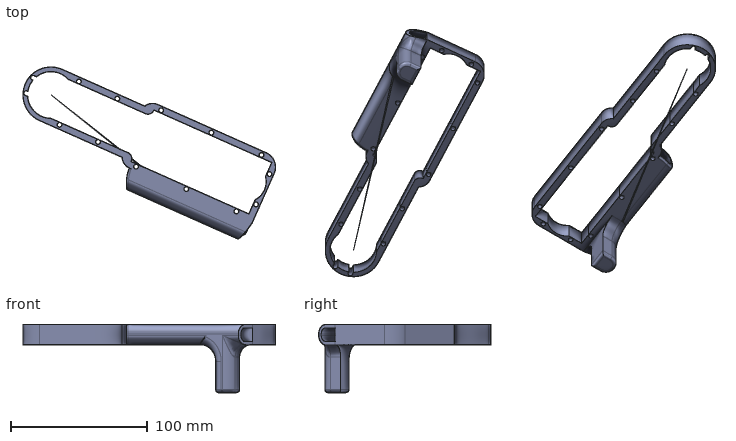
import cadquery as cq
import math

frame_height = 15.0
tilt = -24.0

rail = 4.95
neck_half = 20.5
head_half = neck_half + rail
round_end_x = -0.4
round_end_inner_radius = 17.0
head_end = 172.0
head_corner_radius = 11.5
step_start = 65.6
step_radius = 9.0
step_offset = 2.8
inner_step_run = 4.5
end_wall = 5.0

hollow_half_width = 9.3
hollow_depth = 3.3

hole_diameter = 3.3
neck_hole_spots = [14.2, 45.0]
neck_hole_offset = 17.3
head_hole_spots = [77.7, 117.9, 158.0]
head_hole_offset = 22.55
end_hole_inset = 3.0
end_hole_offset = 12.1

slot_centre = -17.5
slot_offset = 6.15
slot_reach = 3.0

edge_radius = 7.0
handle_side = -40.6
handle_axis = handle_side + edge_radius
handle_inner_side = -22.0
handle_start = 73.6
start_setback = 4.8
start_bulge = 1.2
end_setback = 4.5
end_bulge = 0.5
lip_radius = 1.5

bore_wall = 2.5

peg_drop = 35.0
peg_width = 15.0
peg_start = 146.9
peg_end = peg_start + peg_width
peg_inner_side = -head_half
peg_tip_radius = 2.5
start_sweep_radius = 12.0
end_fillet_radius = 9.0

pick_gap = 0.1


def mirrored(spots, offset):
    return [(x, side * offset) for x in spots for side in (1, -1)]


def frame_outside():
    """Solid block with the outer outline of the frame."""
    step_end = step_start + math.sqrt(step_radius**2 - (step_radius - rail) ** 2)
    return (
        cq.Workplane("XY")
        .moveTo(round_end_x, neck_half)
        .lineTo(step_start, neck_half)
        .radiusArc((step_end, head_half), step_radius)
        .lineTo(head_end - head_corner_radius, head_half)
        .radiusArc((head_end, head_half - head_corner_radius), head_corner_radius)
        .lineTo(head_end, -head_half)
        .lineTo(step_end, -head_half)
        .radiusArc((step_start, -neck_half), step_radius)
        .lineTo(round_end_x, -neck_half)
        .threePointArc((round_end_x - neck_half, 0), (round_end_x, neck_half))
        .close()
        .extrude(frame_height)
    )


def frame_opening():
    """The opening through the frame."""
    neck = neck_half - rail
    head = head_half - rail
    wall = head_end - end_wall
    round_end = round_end_x + math.sqrt(round_end_inner_radius**2 - neck**2)
    step = step_start + step_offset
    step_end = step + inner_step_run
    step_middle = step + inner_step_run * math.sqrt(0.5)
    middle = head - rail * math.sqrt(0.5)
    return (
        cq.Workplane("XY")
        .moveTo(round_end, neck)
        .lineTo(step, neck)
        .threePointArc((step_middle, middle), (step_end, head))
        .lineTo(wall, head)
        .lineTo(wall, hollow_half_width)
        .threePointArc((wall + hollow_depth, 0), (wall, -hollow_half_width))
        .lineTo(wall, -head)
        .lineTo(step_end, -head)
        .threePointArc((step_middle, -middle), (step, -neck))
        .lineTo(round_end, -neck)
        .threePointArc((round_end_x - round_end_inner_radius, 0), (round_end, neck))
        .close()
        .extrude(frame_height)
    )


def handle_bar(inset, start, length):
    """Bar with the handle's D section, drawn in by `inset` from its outside."""
    return (
        cq.Workplane("YZ", origin=(start, 0, 0))
        .moveTo(handle_inner_side, inset)
        .lineTo(handle_axis, inset)
        .radiusArc((handle_side + inset, edge_radius), edge_radius - inset)
        .lineTo(handle_side + inset, frame_height - edge_radius)
        .radiusArc((handle_axis, frame_height - inset), edge_radius - inset)
        .lineTo(handle_inner_side, frame_height - inset)
        .close()
        .extrude(length)
    )


def handle():
    """Handle bar with both ends bowed in plan and a rounded lip round the open end."""
    start_corner = handle_start + start_setback
    end_corner = head_end - end_setback
    middle_side = (handle_side - head_half) / 2
    start_middle = handle_start + start_setback / 2 - start_bulge
    end_middle = head_end - end_setback / 2 + end_bulge
    plan = (
        cq.Workplane("XY")
        .moveTo(handle_start, handle_inner_side)
        .lineTo(handle_start, -head_half)
        .threePointArc((start_middle, middle_side), (start_corner, handle_side))
        .lineTo(end_corner, handle_side)
        .threePointArc((end_middle, middle_side), (head_end, -head_half))
        .lineTo(head_end, handle_inner_side)
        .close()
        .extrude(frame_height)
    )
    bar = handle_bar(0, handle_start, head_end - handle_start).intersect(plan)
    lip = cq.selectors.BoxSelector(
        (handle_start - 1, handle_side - 1, -1),
        (start_corner + 1, -head_half - pick_gap, frame_height + 1),
    )
    return bar.edges(lip).fillet(lip_radius)


def peg():
    """Peg sweeping out of the underside of the handle in one curve on the side of the lip."""
    sweep_start = peg_start - start_sweep_radius
    depth = peg_inner_side - handle_side
    blank = (
        cq.Workplane("XZ", origin=(0, peg_inner_side, 0))
        .moveTo(sweep_start, edge_radius)
        .lineTo(sweep_start, 0)
        .radiusArc((peg_start, -start_sweep_radius), start_sweep_radius)
        .lineTo(peg_start, -peg_drop)
        .lineTo(peg_end, -peg_drop)
        .lineTo(peg_end, edge_radius)
        .close()
        .extrude(depth)
    )
    outer_side = cq.selectors.BoxSelector(
        (sweep_start - 1, handle_side - pick_gap, -peg_drop + pick_gap),
        (peg_end + 1, handle_side + pick_gap, edge_radius - pick_gap),
    )
    rounded = blank.edges(outer_side).fillet(edge_radius)
    return rounded.faces("<Z").edges().fillet(peg_tip_radius)


def peg_with_saddle():
    """Peg joined to the stretch of the handle it hangs from, with a fillet towards the far end."""
    saddle_start = peg_start - start_sweep_radius
    saddle_end = head_end - end_setback
    saddle = handle_bar(0, saddle_start, head_end + end_fillet_radius - saddle_start)
    joined = saddle.union(peg())
    corner = cq.selectors.BoxSelector(
        (peg_end - edge_radius, handle_side, -pick_gap),
        (peg_end + pick_gap, peg_inner_side + pick_gap, edge_radius - pick_gap),
    )
    blended = joined.edges(corner).fillet(end_fillet_radius)
    beyond = handle_bar(0, saddle_end, 2 * end_fillet_radius)
    return blended.cut(beyond)


def screw_holes():
    centres = mirrored(neck_hole_spots, neck_hole_offset)
    centres += mirrored(head_hole_spots, head_hole_offset)
    centres += mirrored([head_end - end_hole_inset], end_hole_offset)
    return cq.Workplane("XY").pushPoints(centres).circle(hole_diameter / 2).extrude(frame_height)


def round_end_slots():
    return (
        cq.Workplane("XY")
        .pushPoints(mirrored([slot_centre + slot_reach / 2], slot_offset))
        .slot2D(slot_reach + hole_diameter, hole_diameter)
        .extrude(frame_height)
    )


bore = handle_bar(bore_wall, handle_start, head_end - handle_start)
hollow_handle = handle().union(peg_with_saddle()).cut(bore)
body = frame_outside().union(hollow_handle)
body = body.cut(frame_opening()).cut(screw_holes()).cut(round_end_slots())
result = body.rotate((0, 0, 0), (0, 0, 1), tilt)